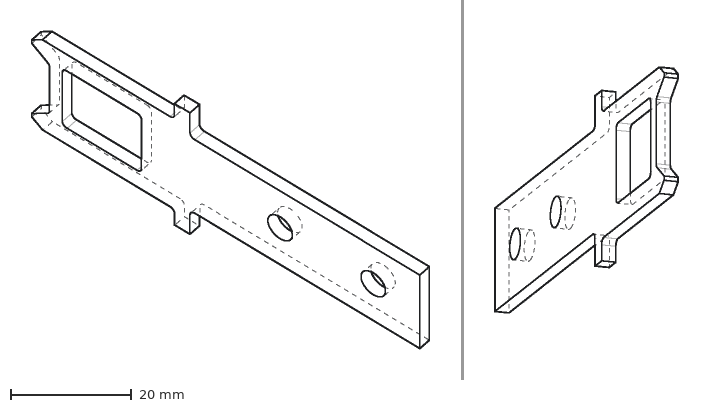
import cadquery as cq
import math

length = 83.5
thickness = 2.5
body_height = 21.9
stem_height = 17.9
corner_radius = 1.0

tab_span = 29.5
tab_start = 30.7
tab_width = 3.3
tab_end = tab_start + tab_width

prong_angle = math.radians(35)
prong_chamfer_length = 2.3
tip_width = 0.75
notch_depth = 3.8
tip_outer = body_height / 2 - prong_chamfer_length * math.tan(prong_angle)
tip_inner = tip_outer - tip_width
notch_half_height = tip_inner - notch_depth * math.tan(prong_angle)

window_start = 6.6
window_length = 17.0
window_height = 13.9

hole_diameter = 5.3
hole_pitch = 20.0
hole_end_distance = 10.0


def make_plate():
    """Extrude the outline, symmetric about Z = 0, with rounded inner corners."""
    upper_half = [
        (notch_depth, notch_half_height),
        (0, tip_inner),
        (0, tip_outer),
        (prong_chamfer_length, body_height / 2),
        (tab_start, body_height / 2),
        (tab_start, tab_span / 2),
        (tab_end, tab_span / 2),
        (tab_end, stem_height / 2),
        (length, stem_height / 2),
    ]
    lower_half = [(x, -z) for x, z in reversed(upper_half)]
    plate = (
        cq.Workplane("XZ")
        .polyline(upper_half + lower_half)
        .close()
        .extrude(thickness)
    )
    inner_corners = [
        (notch_depth, notch_half_height),
        (tab_start, body_height / 2),
        (tab_end, stem_height / 2),
    ]
    for x, z in inner_corners:
        for side in (1, -1):
            corner_edge = cq.selectors.NearestToPointSelector((x, -thickness / 2, side * z))
            plate = plate.edges("|Y").edges(corner_edge).fillet(corner_radius)
    return plate


def make_window():
    """Rounded rectangular cutter passing through the forked body."""
    return (
        cq.Workplane("XZ")
        .center(window_start + window_length / 2, 0)
        .rect(window_length, window_height)
        .extrude(thickness)
        .edges("|Y")
        .fillet(corner_radius)
    )


def make_holes():
    """Two cylindrical cutters along the centre line of the stem."""
    last_hole = length - hole_end_distance
    return (
        cq.Workplane("XZ")
        .pushPoints([(last_hole - hole_pitch, 0), (last_hole, 0)])
        .circle(hole_diameter / 2)
        .extrude(thickness)
    )


result = make_plate().cut(make_window()).cut(make_holes())